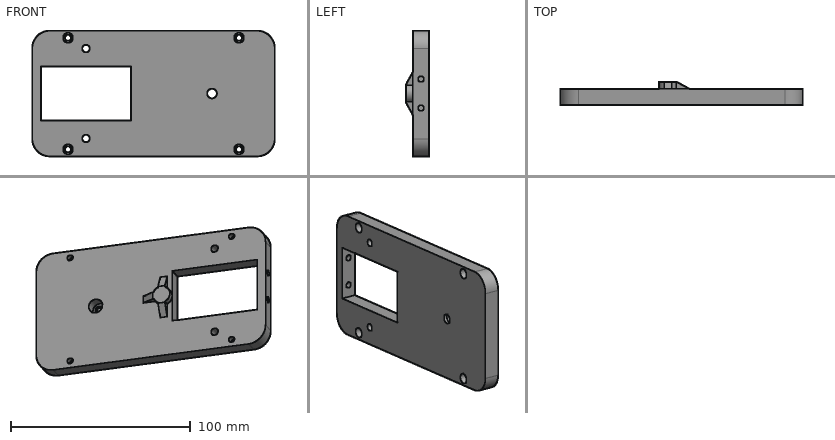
import cadquery as cq

length = 135.0
height = 70.0
thickness = 9.0
corner_radius = 10.0
left_edge = -length / 2

window_margin = 5.0
window_width = 50.0
window_height = 30.0
window_left = left_edge + window_margin
window_right = window_left + window_width

screw_inset_x = 20.0
screw_inset_z = 4.0
screw_diameter = 3.2
head_diameter = 5.5
head_depth = 5.0

pin_x = left_edge + 30.0
pin_spacing = 50.0
pin_diameter = 4.0
pivot_x = left_edge + 100.0
pivot_diameter = 5.3
pivot_web = 2.0
pivot_recess_diameter = 8.0

side_spacing = 16.0
side_diameter = 3.2

boss_height = 3.9
boss_radius = 5.0
boss_x = window_right + boss_radius
rib_width = 4.0
rib_reach = 12.2
rib_embed = 0.7
rib_angles = (0, 90, -90)


def rod(x, z, diameter, start, end):
    """Cylinder along Y from start to end."""
    axis = cq.Vector(0, 1, 0)
    return cq.Workplane(cq.Solid.makeCylinder(diameter / 2, end - start, cq.Vector(x, start, z), axis))


def make_plate():
    blank = cq.Workplane("XY").box(length, thickness, height, centered=(True, False, True))
    plate = blank.edges("|Y").fillet(corner_radius)
    window = cq.Workplane("XY").box(window_width, thickness, window_height, centered=(False, False, True))
    return plate.cut(window.translate((window_left, 0, 0)))


def make_rib(angle):
    """Sloping rib, radiating from the boss axis and sunk slightly into the plate."""
    back = thickness + boss_height
    profile = [
        (0, thickness - rib_embed),
        (rib_reach, thickness - rib_embed),
        (rib_reach, thickness),
        (boss_radius, back),
        (0, back),
    ]
    rib = cq.Workplane("XY").polyline(profile).close().extrude(rib_width / 2, both=True)
    return rib.rotate((0, 0, 0), (0, 1, 0), angle).translate((boss_x, 0, 0))


def cut_holes(body):
    screw_x = length / 2 - screw_inset_x
    screw_z = height / 2 - screw_inset_z
    for x in (-screw_x, screw_x):
        for z in (-screw_z, screw_z):
            body = body.cut(rod(x, z, screw_diameter, 0, thickness))
            body = body.cut(rod(x, z, head_diameter, 0, head_depth))

    body = body.cut(rod(pivot_x, 0, pivot_diameter, 0, thickness))
    body = body.cut(rod(pivot_x, 0, pivot_recess_diameter, pivot_web, thickness))
    for side in (-1, 1):
        body = body.cut(rod(pin_x, side * pin_spacing / 2, pin_diameter, 0, thickness))
        side_start = cq.Vector(left_edge, thickness / 2, side * side_spacing / 2)
        side_hole = cq.Solid.makeCylinder(side_diameter / 2, window_margin, side_start, cq.Vector(1, 0, 0))
        body = body.cut(cq.Workplane(side_hole))
    return body


body = make_plate().union(rod(boss_x, 0, 2 * boss_radius, thickness - rib_embed, thickness + boss_height))
for angle in rib_angles:
    body = body.union(make_rib(angle))

result = cut_holes(body)